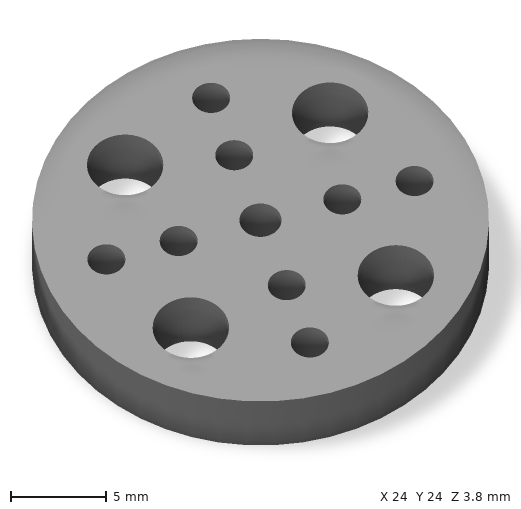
import cadquery as cq

disc_diameter = 24.0
disc_thickness = 3.8

center_hole_diameter = 2.2
small_hole_diameter = 2.0
large_hole_diameter = 4.0

inner_ring_radius = 4.5
outer_ring_radius = 8.5
large_ring_radius = 8.0

holes_per_ring = 4
diagonal_angle = 45


def drill_ring(body, ring_radius, hole_diameter, start_angle):
    """Drill a ring of evenly spaced through holes."""
    return (
        body.faces(">Z")
        .workplane(origin=(0, 0, 0))
        .polarArray(ring_radius, start_angle, 360, holes_per_ring)
        .hole(hole_diameter)
    )


disc = cq.Workplane("XY").circle(disc_diameter / 2).extrude(disc_thickness)
disc = disc.faces(">Z").workplane(origin=(0, 0, 0)).hole(center_hole_diameter)

disc = drill_ring(disc, inner_ring_radius, small_hole_diameter, 0)
disc = drill_ring(disc, outer_ring_radius, small_hole_diameter, 0)
disc = drill_ring(disc, large_ring_radius, large_hole_diameter, diagonal_angle)

result = disc